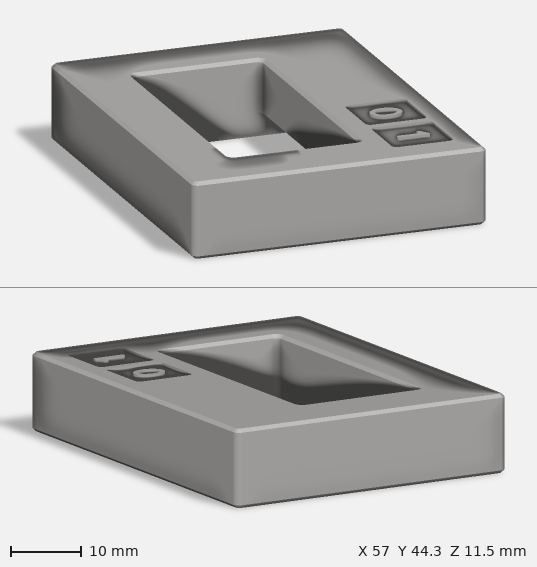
import cadquery as cq

length = 57.05
width = 44.34
height = 11.5
corner_radius = 1.0
edge_chamfer = 0.5

inner_corner_radius = 0.81

window_length = 39.1
window_width = 19.6
window_center_y = -3.4
window_chamfer = 0.5
rim_angle = 45

recess_width = window_width - 2 * window_center_y
recess_depth = 3.5

pocket_size = 9.2
pocket_spacing = 10.5
pocket_depth = 0.6
zero_center_x = 8.8
pocket_center_y = 14.35
one_center_x = zero_center_x + pocket_spacing
pocket_floor_z = height - pocket_depth

digit_height = 4.8
zero_width = 3.7
zero_inner_height = 3.2
zero_inner_width = 2.0

stem_width = 0.86
stem_right = 0.75
flag_left = -0.95
flag_bottom = 0.95
flag_tip_top = 1.6
flag_bulge_x = -0.35
flag_bulge_y = 1.9
flag_top_end = 0.2


def rounded_block(size_x, size_y, depth, radius):
    """Block standing on Z = 0, centred in X and Y, with rounded vertical edges."""
    return (
        cq.Workplane("XY")
        .box(size_x, size_y, depth, centered=(True, True, False))
        .edges("|Z")
        .fillet(radius)
    )


def make_body():
    return (
        rounded_block(length, width, height, corner_radius)
        .faces("<Z or >Z")
        .edges()
        .chamfer(edge_chamfer)
    )


def make_window():
    opening = rounded_block(window_length, window_width, height, inner_corner_radius)
    rim = (
        opening.faces(">Z")
        .workplane(offset=-window_chamfer)
        .placeSketch(
            cq.Sketch().rect(window_length, window_width).vertices().fillet(inner_corner_radius)
        )
        .extrude(window_chamfer, taper=-rim_angle, combine=False)
    )
    return opening.union(rim).translate((0, window_center_y, 0))


def make_recess():
    return rounded_block(window_length, recess_width, recess_depth, inner_corner_radius)


def digit_plane(center_x):
    return cq.Workplane("XY", origin=(center_x, pocket_center_y, pocket_floor_z))


def make_pocket(center_x):
    pocket = rounded_block(pocket_size, pocket_size, pocket_depth, inner_corner_radius)
    return pocket.translate((center_x, pocket_center_y, pocket_floor_z))


def make_zero():
    return (
        digit_plane(zero_center_x)
        .ellipse(zero_width / 2, digit_height / 2)
        .ellipse(zero_inner_width / 2, zero_inner_height / 2)
        .extrude(pocket_depth)
    )


def make_one():
    top = digit_height / 2
    stem_left = stem_right - stem_width
    foot_radius = stem_width / 2
    return (
        digit_plane(one_center_x)
        .moveTo(stem_right, top)
        .lineTo(stem_right, foot_radius - top)
        .threePointArc((stem_right - foot_radius, -top), (stem_left, foot_radius - top))
        .lineTo(stem_left, flag_bottom)
        .lineTo(flag_left, flag_bottom)
        .lineTo(flag_left, flag_tip_top)
        .threePointArc((flag_bulge_x, flag_bulge_y), (flag_top_end, top))
        .close()
        .extrude(pocket_depth)
    )


frame = make_body().cut(make_window()).cut(make_recess())
for center_x in (zero_center_x, one_center_x):
    frame = frame.cut(make_pocket(center_x))
result = frame.union(make_zero()).union(make_one())